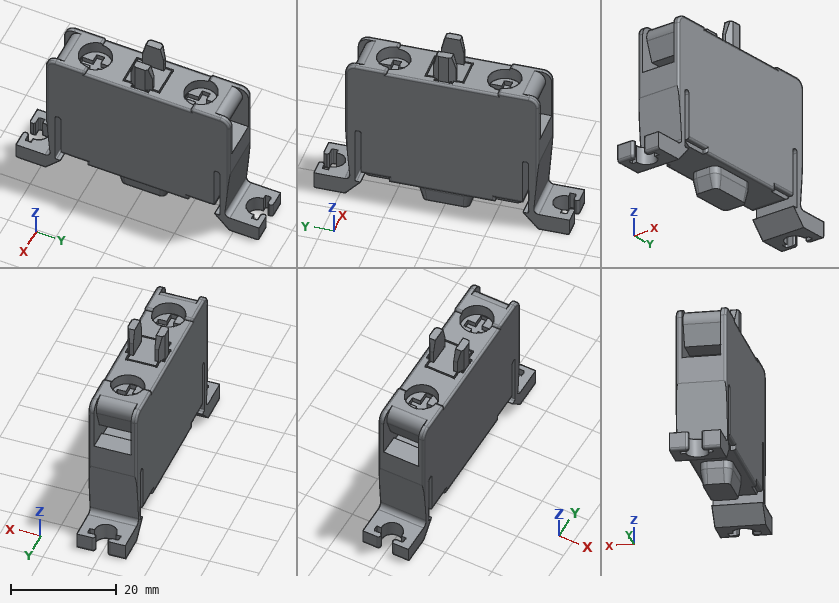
import cadquery as cq
import math

width = 9.8
length = 50.6
height = 36.05
half_width = width / 2
half_length = length / 2

housing_half = 19.15
body_bottom = 4.55
cap_top = 30.75
edge_round = 0.45
body_top = cap_top - edge_round
cap_start = 11.0
cap_corner = 1.95
cap_bottom = 10.1

body_half = 15.95
side_recess_start = 10.45
side_recess_top = 5.5
side_recess_depth = 0.95
core_corner = 1.5

slot_width = 1.2
slot_top = 15.55
leg_inner = body_half + slot_width
leg_foot_outer = 18.1
taper_top = 15.6
foot_thickness = 3.5
hook_tip = 16.05
hook_height = 3.35
foot_toe = 19.15
foot_fillet = 1.0
hook_fillet = 0.3
foot_end_round = 0.5

keyhole_center = 22.75
keyhole_radius = 2.2
cross_slot_start = 22.95
cross_slot_end = 24.2
cross_slot_half = 3.15
mouth_width = 2.6
lip_round = 0.3
mouth_round = 0.5

pocket_width = 7.5
bar_radius = 2.2
bar_center_y = 15.75
bar_lean = 20.0
bar_bottom = 23.85
pocket_sill = 20.75
sill_inner = 15.1
pocket_floor = 19.95
pocket_back = 11.15

screw_y = 11.0
screw_radius = 3.25
screw_depth = 2.65
cross_depth = 1.0
cross_length_x, cross_width_x = 4.75, 1.55
cross_length_y, cross_width_y = 6.1, 1.35

gap = 0.3
gap_depth = 1.0
slider_length, slider_width = 7.7, 6.4
ear_length, ear_width = 3.65, 7.9
post_inner, post_shoulder, post_outer = 2.2, 2.95, 3.75
post_half = 2.25
post_outer_half = 1.0
post_tip_half = 1.5
post_shoulder_z = 33.2

boss_length, boss_width, boss_corner = 10.85, 6.25, 1.55
boss_tip_length, boss_tip_width, boss_tip_corner = 9.2, 5.25, 1.0
boss_kink = 3.05
boss_bottom = 0.15

overlap = 0.5


def extrude_x(sketch, thickness):
    """Extrude a YZ sketch by the full thickness, centred on X = 0."""
    return sketch.extrude(thickness / 2, both=True)


def block(size_x, size_y, z_low, z_high, center=(0, 0)):
    """Upright box between two heights."""
    base = cq.Workplane("XY").workplane(offset=z_low).center(*center)
    return base.rect(size_x, size_y).extrude(z_high - z_low)


def both_ends(end_part):
    """The +Y end part together with its mirror image at the -Y end."""
    return end_part.union(end_part.mirror("XZ"))


def make_center_body():
    outline = cq.Workplane("YZ").polyline([
        (-body_half, side_recess_top),
        (-side_recess_start, side_recess_top),
        (-side_recess_start, body_bottom),
        (side_recess_start, body_bottom),
        (side_recess_start, side_recess_top),
        (body_half, side_recess_top),
        (body_half, body_top),
        (-body_half, body_top),
    ]).close()
    plate = extrude_x(outline, width)
    ends = cq.selectors.BoxSelector(
        (-half_width - overlap, -body_half + overlap, 0),
        (half_width + overlap, body_half - overlap, height),
    )
    plate = plate.faces("<X or >X").edges(ends).fillet(edge_round)
    core = block(width - 2 * side_recess_depth, 2 * body_half, body_bottom, cap_bottom)
    core = core.faces("<Z").edges("|X").fillet(core_corner)
    return plate.union(core)


def make_end_cap():
    """Raised +Y end of the housing, rounded along its sides and its step."""
    cap_length = housing_half - cap_start
    cap = block(width, cap_length, cap_bottom, cap_top, (0, cap_start + cap_length / 2))
    cap = cap.edges(">Y and >Z").fillet(cap_corner)
    side_edges = cap.faces("<X or >X").edges("not <Z")
    cap = side_edges.add(cap.edges("<Y and >Z")).fillet(edge_round)
    taper = cq.Workplane("YZ").polyline([
        (housing_half, taper_top),
        (leg_foot_outer, foot_thickness),
        (half_length, foot_thickness),
        (half_length, taper_top),
    ]).close()
    return cap.cut(extrude_x(taper, width))


def make_leg_with_foot():
    """Tapered spring leg below the +Y cap, ending in a hooked foot."""
    taper_fraction = (cap_bottom - foot_thickness) / (taper_top - foot_thickness)
    leg_top_outer = leg_foot_outer + (housing_half - leg_foot_outer) * taper_fraction
    outline = cq.Workplane("YZ").polyline([
        (leg_inner, hook_height),
        (hook_tip, hook_height),
        (foot_toe, 0),
        (half_length, 0),
        (half_length, foot_thickness),
        (leg_foot_outer, foot_thickness),
        (leg_top_outer, cap_bottom),
        (leg_inner, cap_bottom),
    ]).close()
    leg = extrude_x(outline, width)
    outer_corner = cq.selectors.NearestToPointSelector((0, leg_foot_outer, foot_thickness))
    leg = leg.edges("|X").edges(outer_corner).fillet(foot_fillet)
    inner_corner = cq.selectors.NearestToPointSelector((0, leg_inner, hook_height))
    leg = leg.edges("|X").edges(inner_corner).fillet(hook_fillet)
    leg = leg.edges(">Y and <Z").fillet(foot_end_round)
    leg = leg.cut(make_keyhole())
    mouth_edges = cq.selectors.BoxSelector(
        (-mouth_width, half_length - edge_round / 2, foot_end_round),
        (mouth_width, half_length + overlap, foot_thickness),
    )
    return leg.edges("|Z").edges(mouth_edges).fillet(mouth_round)


def make_keyhole():
    hole = cq.Workplane("XY").center(0, keyhole_center).circle(keyhole_radius).extrude(foot_thickness)
    cross_slot = block(
        2 * cross_slot_half, cross_slot_end - cross_slot_start, 0, foot_thickness,
        (0, (cross_slot_start + cross_slot_end) / 2),
    )
    cross_slot = cross_slot.edges("|Z and >Y").fillet(lip_round)
    mouth_length = half_length - keyhole_center
    mouth = block(mouth_width, mouth_length, 0, foot_thickness, (0, keyhole_center + mouth_length / 2))
    return hole.union(cross_slot).union(mouth)


def make_leg_slot():
    """Round-topped gap that frees the +Y leg from the housing."""
    radius = slot_width / 2
    slot_bottom = hook_height + hook_fillet
    outline = (
        cq.Workplane("YZ")
        .moveTo(body_half, slot_bottom)
        .lineTo(body_half, slot_top - radius)
        .threePointArc((body_half + radius, slot_top), (leg_inner, slot_top - radius))
        .lineTo(leg_inner, slot_bottom)
        .close()
    )
    return extrude_x(outline, width)


def make_wire_pocket():
    """+Y pocket under a rounded bar, with a raised sill at its entry."""
    lean = math.radians(bar_lean)
    bar_center_z = cap_top - bar_radius
    arc_middle = math.radians(90 - bar_lean) / 2
    arc_end_y = bar_center_y + bar_radius * math.cos(lean)
    arc_end_z = bar_center_z - bar_radius * math.sin(lean)
    bar_foot_y = arc_end_y - (arc_end_z - bar_bottom) * math.tan(lean)
    outside = housing_half + overlap
    outline = (
        cq.Workplane("YZ")
        .moveTo(bar_center_y, cap_top)
        .threePointArc(
            (bar_center_y + bar_radius * math.cos(arc_middle),
             bar_center_z + bar_radius * math.sin(arc_middle)),
            (arc_end_y, arc_end_z),
        )
        .lineTo(bar_foot_y, bar_bottom)
        .lineTo(pocket_back, bar_bottom)
        .lineTo(pocket_back, pocket_floor)
        .lineTo(sill_inner, pocket_floor)
        .lineTo(sill_inner, pocket_sill)
        .lineTo(outside, pocket_sill)
        .lineTo(outside, cap_top)
        .close()
    )
    return extrude_x(outline, pocket_width)


def make_screw_recess():
    """Round +Y screw well with a cross recess in the screw head."""
    head_z = cap_top - screw_depth
    well = (
        cq.Workplane("XY").workplane(offset=head_z)
        .center(0, screw_y).circle(screw_radius).extrude(screw_depth)
    )
    for size_x, size_y in ((cross_length_x, cross_width_x), (cross_width_y, cross_length_y)):
        well = well.union(block(size_x, size_y, head_z - cross_depth, head_z, (0, screw_y)))
    return well


def make_slider_gap():
    """Narrow groove that outlines the slider in the top face."""
    z_low = body_top - gap_depth
    outer = block(slider_width, slider_length, z_low, body_top)
    outer = outer.union(block(ear_width, ear_length, z_low, body_top))
    inner = block(slider_width - 2 * gap, slider_length - 2 * gap, z_low, body_top)
    inner = inner.union(block(ear_width - 2 * gap, ear_length - 2 * gap, z_low, body_top))
    return outer.cut(inner)


def make_post():
    """+X slider post: bevelled outside corners and a narrowed tip."""
    z_low = body_top - gap_depth
    post = (
        cq.Workplane("XY").workplane(offset=z_low)
        .polyline([
            (post_inner, -post_half),
            (post_shoulder, -post_half),
            (post_outer, -post_outer_half),
            (post_outer, post_outer_half),
            (post_shoulder, post_half),
            (post_inner, post_half),
        ]).close().extrude(height - z_low)
    )
    side_shape = cq.Workplane("YZ").polyline([
        (-post_half, z_low),
        (-post_half, post_shoulder_z),
        (-post_tip_half, height),
        (post_tip_half, height),
        (post_half, post_shoulder_z),
        (post_half, z_low),
    ]).close()
    return post.intersect(extrude_x(side_shape, width))


def rounded_rectangle(size_x, size_y, corner):
    return cq.Sketch().rect(size_x, size_y).vertices().fillet(corner)


def make_boss():
    top_shape = rounded_rectangle(boss_width, boss_length, boss_corner)
    tip_shape = rounded_rectangle(boss_tip_width, boss_tip_length, boss_tip_corner)
    kink_plane = cq.Workplane("XY").workplane(offset=boss_kink)
    straight = kink_plane.placeSketch(top_shape).extrude(body_bottom + overlap - boss_kink)
    drop = cq.Location(cq.Vector(0, 0, boss_bottom - boss_kink))
    tapered = kink_plane.placeSketch(top_shape, tip_shape.moved(drop)).loft()
    return straight.union(tapered)


result = make_center_body()
result = result.union(both_ends(make_end_cap()))
result = result.union(both_ends(make_leg_with_foot()))
for cutter in (make_leg_slot(), make_wire_pocket(), make_screw_recess()):
    result = result.cut(cutter).cut(cutter.mirror("XZ"))
result = result.cut(make_slider_gap())
post_pair = make_post()
post_pair = post_pair.union(post_pair.mirror("YZ"))
result = result.union(post_pair).union(make_boss())